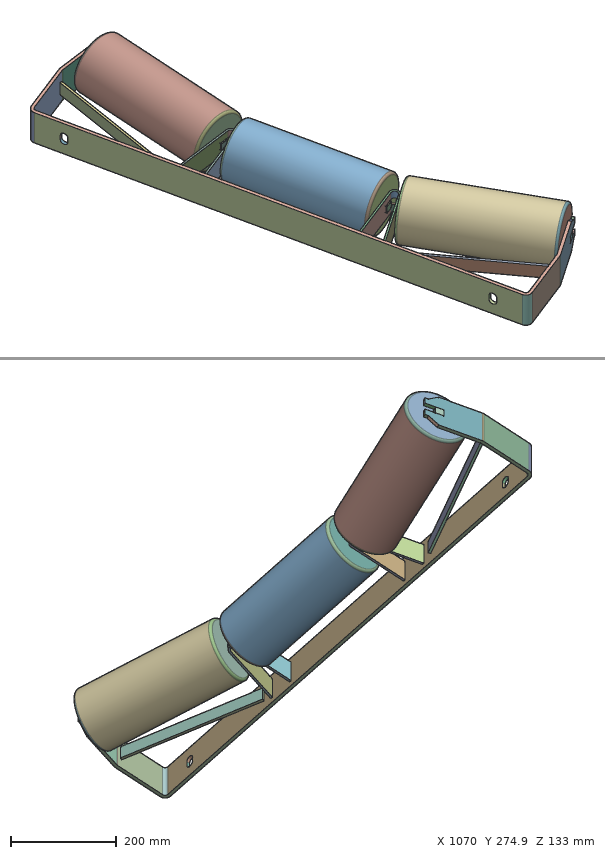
import cadquery as cq
import math

frame_length = 1070.0
tilt_degrees = 15.0
end_gap = 5.0

frame_width = 80.0
frame_thickness = 7.0
frame_bend_radius = 14.0
arm_bend_height = 127.0
arm_length = 122.0
arm_tip_width = 48.0
arm_tip_straight = 7.0
arm_taper_length = 21.0
mount_slot_offset = 458.0
mount_slot_length = 28.0
mount_slot_width = 16.0

roller_diameter = 133.0
roller_length = 316.0
roller_edge_radius = 5.0
centre_roller_height = 125.0
axle_diameter = 21.0
axle_end_side = 17.0
axle_position = 91.0

bracket_width = 54.0
bracket_thickness = 4.0
arch_radius = 12.0

brace_width = 32.0
brace_thickness = 5.0
brace_foot_offset = 242.0
brace_head_height = 116.0

tilt = math.radians(tilt_degrees)
sin_tilt = math.sin(tilt)
cos_tilt = math.cos(tilt)
half_length = frame_length / 2
shoulder_offset = roller_length / 2 + end_gap
arm_offset = shoulder_offset + frame_thickness
left_roller_x = -half_length + axle_position * sin_tilt + arm_offset * cos_tilt
left_roller_y = arm_bend_height + axle_position * cos_tilt - arm_offset * sin_tilt


def mirrored(body):
    """Copy on the other side of the plane X = 0."""
    return body.mirror("YZ")


def single_solid(body):
    """The one solid of a body, also when a cut or union has wrapped it in a compound."""
    return body.solids().val()


def place_left(body):
    """Move a body built around the origin along X to the left outer roller."""
    turned = body.rotate((0, 0, 0), (0, 0, 1), -tilt_degrees)
    return turned.translate((left_roller_x, left_roller_y, 0))


def place_centre(body):
    """Move a body built around the origin along X to the centre roller."""
    return body.translate((0, centre_roller_height, 0))


def extrude_centred(profile, width):
    """Extrude an XY profile along Z, half to each side of Z = 0."""
    return profile.extrude(width).translate((0, 0, -width / 2))


def bar_along_x(section, length):
    """Extrude a YZ section to a bar centred on the origin."""
    return section.extrude(length).translate((-length / 2, 0, 0))


def make_roller():
    """Roller whose axle has square ends that finish flush with the outer face of a frame arm."""
    shell = bar_along_x(cq.Workplane("YZ").circle(roller_diameter / 2), roller_length)
    shell = shell.edges("%CIRCLE").fillet(roller_edge_radius)
    axle = bar_along_x(cq.Workplane("YZ").circle(axle_diameter / 2), 2 * shoulder_offset)
    square = cq.Workplane("YZ").rect(axle_end_side, axle_end_side)
    ends = bar_along_x(square, 2 * arm_offset)
    return shell.union(axle).union(ends)


def make_axle_slot():
    """Cutter on the +X end of a roller: a slot for the square axle end, open towards +Y."""
    cut_length = 2 * end_gap + frame_thickness
    cut_height = arm_length
    cutter = cq.Workplane("XY").box(cut_length, cut_height, axle_end_side, centered=(False, False, True))
    return cutter.translate((roller_length / 2, -axle_end_side / 2, 0))


def arm_tip_corners():
    """Cutter for the two corners removed from the left arm, built around the roller axis."""
    tip = arm_length - axle_position
    taper_end = tip - arm_tip_straight
    taper_start = taper_end - arm_taper_length
    corner = (
        cq.Workplane("YZ")
        .moveTo(taper_start, frame_width / 2)
        .lineTo(taper_end, arm_tip_width / 2)
        .lineTo(tip, arm_tip_width / 2)
        .lineTo(tip, frame_width / 2)
        .close()
        .extrude(-2 * arm_offset)
    )
    return corner.union(corner.mirror("XY"))


def make_left_frame_half():
    """Base half, upright and arm to the left of X = 0, with the arm's tip and axle slot."""
    tip_x = -half_length + arm_length * sin_tilt
    tip_y = arm_bend_height + arm_length * cos_tilt
    inner_x = -half_length + frame_thickness
    inner_bend_y = arm_bend_height - frame_thickness * math.tan(tilt / 2)
    profile = (
        cq.Workplane("XY")
        .moveTo(0, 0)
        .lineTo(-half_length, 0)
        .lineTo(-half_length, arm_bend_height)
        .lineTo(tip_x, tip_y)
        .lineTo(tip_x + frame_thickness * cos_tilt, tip_y - frame_thickness * sin_tilt)
        .lineTo(inner_x, inner_bend_y)
        .lineTo(inner_x, frame_thickness)
        .lineTo(0, frame_thickness)
        .close()
    )
    half = extrude_centred(profile, frame_width)

    inner_radius = frame_bend_radius - frame_thickness
    bends = [
        (-half_length, 0, frame_bend_radius),
        (inner_x, frame_thickness, inner_radius),
        (-half_length, arm_bend_height, frame_bend_radius),
        (inner_x, inner_bend_y, inner_radius),
    ]
    for x, y, radius in bends:
        half = half.edges(cq.selectors.NearestToPointSelector((x, y, 0))).fillet(radius)

    half = half.cut(place_left(arm_tip_corners()))
    return half.cut(place_left(mirrored(make_axle_slot())))


def make_frame():
    left_half = make_left_frame_half()
    mount_slots = (
        cq.Workplane("XZ")
        .pushPoints([(-mount_slot_offset, 0), (mount_slot_offset, 0)])
        .slot2D(mount_slot_length, mount_slot_width, 90)
        .extrude(-frame_thickness)
    )
    return left_half.union(mirrored(left_half)).cut(mount_slots)


def make_left_bracket():
    """Upright leg at the centre roller and leaning leg at the left roller, joined by an arch."""
    upright_x = -shoulder_offset
    lean_x = left_roller_x + shoulder_offset * cos_tilt
    lean_y = left_roller_y - shoulder_offset * sin_tilt

    arch_x = upright_x - arch_radius
    arch_y = lean_y + ((arch_x - lean_x) * cos_tilt - arch_radius) / sin_tilt
    inner_radius = arch_radius - bracket_thickness

    def leaning_top(radius):
        return arch_x - radius * cos_tilt, arch_y + radius * sin_tilt

    def leaning_foot(radius):
        top_x, top_y = leaning_top(radius)
        return top_x - (top_y - frame_thickness) * math.tan(tilt), frame_thickness

    profile = (
        cq.Workplane("XY")
        .moveTo(*leaning_foot(arch_radius))
        .lineTo(*leaning_top(arch_radius))
        .threePointArc((arch_x, arch_y + arch_radius), (upright_x, arch_y))
        .lineTo(upright_x, frame_thickness)
        .lineTo(upright_x - bracket_thickness, frame_thickness)
        .lineTo(upright_x - bracket_thickness, arch_y)
        .threePointArc((arch_x, arch_y + inner_radius), leaning_top(inner_radius))
        .lineTo(*leaning_foot(inner_radius))
        .close()
    )
    bracket = extrude_centred(profile, bracket_width)
    slot = make_axle_slot()
    return bracket.cut(place_left(slot)).cut(place_centre(mirrored(slot)))


def make_left_brace():
    """Flat bar whose lower edge runs from the upright's inner face down to the base."""
    head_x = -half_length + frame_thickness
    run = -brace_foot_offset - head_x
    drop = brace_head_height - frame_thickness
    slope_degrees = math.degrees(math.atan2(drop, run))
    brace = cq.Workplane("XY").box(
        math.hypot(run, drop), brace_thickness, brace_width, centered=(False, False, True)
    )
    turned = brace.rotate((0, 0, 0), (0, 0, 1), -slope_degrees)
    return turned.translate((head_x, brace_head_height, 0))


frame = make_frame()
roller = make_roller()
centre_roller = place_centre(roller)
bodies = [single_solid(frame), single_solid(centre_roller)]

left_roller = place_left(roller)
left_bracket = make_left_bracket()
left_brace = make_left_brace()
for left_body in (left_roller, left_bracket, left_brace):
    for body in (left_body, mirrored(left_body)):
        bodies.append(single_solid(body))

result = cq.Compound.makeCompound(bodies)